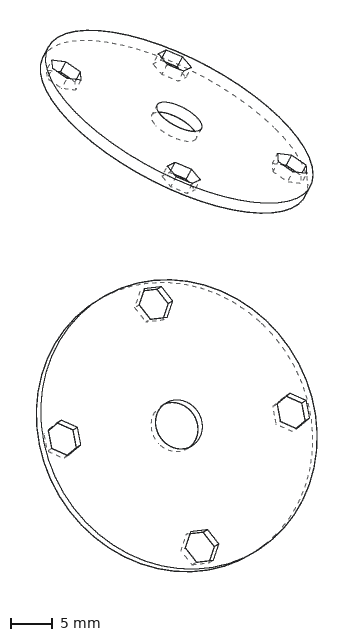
import cadquery as cq
import math

disc_diameter = 35.53
disc_thickness = 1.5
bore_diameter = 6.0
hex_count = 4
hex_circle_radius = 15.0
hex_corner_diameter = 4.37
first_hex_angle = 45.0

tilt_angle = math.degrees(math.atan(1 / math.sqrt(2)))


def make_disc():
    """Flat round disc with a plain central bore."""
    return (
        cq.Workplane("XY")
        .circle(disc_diameter / 2)
        .circle(bore_diameter / 2)
        .extrude(disc_thickness)
    )


def make_hex_cutter(angle):
    """Hexagonal prism with one pair of flats facing the disc centre."""
    return (
        cq.Workplane("XY")
        .polygon(6, hex_corner_diameter)
        .extrude(disc_thickness)
        .rotate((0, 0, 0), (0, 0, 1), 90)
        .translate((hex_circle_radius, 0, 0))
        .rotate((0, 0, 0), (0, 0, 1), angle)
    )


disc = make_disc()
for index in range(hex_count):
    disc = disc.cut(make_hex_cutter(first_hex_angle + index * 360 / hex_count))

result = disc.rotate((0, 0, 0), (1, 0, 0), -tilt_angle)